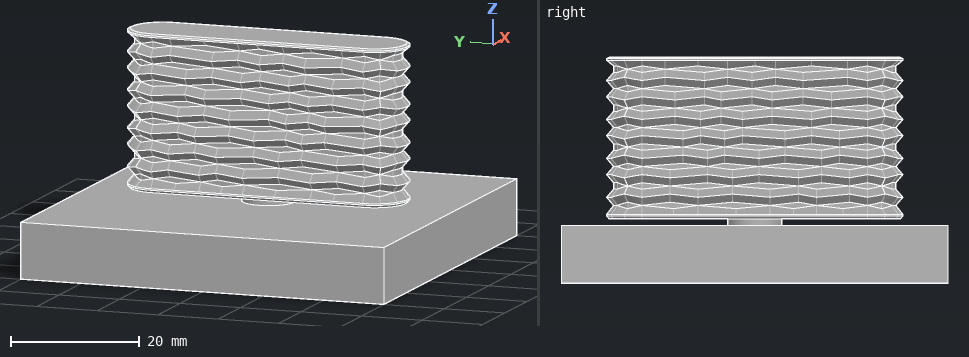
import cadquery as cq
import math

BASE_SIDE = 60.0
BASE_HEIGHT = 9.0

STUD_DIAMETER = 8.4
STUD_HEIGHT = 1.0

GRIP_HEIGHT = 25.09
CREST_RADIUS = 5.5
RIDGE_DEPTH = 1.1
FLOOR_RADIUS = CREST_RADIUS - RIDGE_DEPTH
HALF_STRAIGHT = 17.5

LAND_HEIGHT = 0.25
TOP_CHAMFER_INSET = 0.5
TOP_CHAMFER_HEIGHT = 0.23
BOTTOM_CHAMFER_INSET = 0.4
BOTTOM_CHAMFER_HEIGHT = 0.45

GRIP_BOTTOM = BASE_HEIGHT + STUD_HEIGHT
GRIP_TOP = GRIP_BOTTOM + GRIP_HEIGHT

GAP_COUNT = 8
TOP_ROW_Z = GRIP_TOP - TOP_CHAMFER_HEIGHT - LAND_HEIGHT / 2
BOTTOM_ROW_Z = GRIP_BOTTOM + BOTTOM_CHAMFER_HEIGHT + LAND_HEIGHT / 2
ROW_PITCH = (TOP_ROW_Z - BOTTOM_ROW_Z) / GAP_COUNT
RIDGE_SWAY = 0.25
RIDGE_HALF_WIDTH = ROW_PITCH / 2 - RIDGE_SWAY

PINCH_Y = [
    [-8.8, 0.0, 8.8],
    [-13.9, -4.2, 3.2, 14.4],
    [-7.8, -0.4, 7.5],
    [-12.4, -5.2, 2.7, 11.9],
    [-8.4, -1.9, 8.8],
    [-11.1, -4.7, 4.7, 13.15],
    [-7.3, 0.65, 10.35],
    [-13.15, -3.45, 6.8, 14.7],
    [-8.8, 2.4, 9.6],
    [-12.6, -2.9, 6.0, 13.7],
]

NOSE_BENDS = [(0, 1), (30, -1), (60, 1), (90, 1), (120, 1), (150, -1), (180, 1)]

CURVE_STEPS = 6
TOUCH_TOLERANCE = 1e-5


def row_z(row):
    return TOP_ROW_Z - row * ROW_PITCH


def row_direction(row):
    """Sway direction of a row where the straight side meets the rounded end."""
    return 1 if row % 2 == 0 else -1


def side_points(row, radius, z_offset, sway):
    """Points of one ridge line along the straight +X side, from -Y to +Y."""
    bends = [(y, 1) for y in PINCH_Y[row]]
    bends += [(y, -1) for y in PINCH_Y[row + 1]]
    bends += [(y, row_direction(row)) for y in (-HALF_STRAIGHT, HALF_STRAIGHT)]
    z = row_z(row) + z_offset
    return [cq.Vector(radius, y, z + sway * lift) for y, lift in sorted(bends)]


def nose_edges(row, radius, z_offset, sway):
    """Edges of one ridge line around the +Y end, rising evenly from bend to bend."""
    edges = []
    for (angle_a, lift_a), (angle_b, lift_b) in zip(NOSE_BENDS, NOSE_BENDS[1:]):
        points = []
        for step in range(CURVE_STEPS + 1):
            part = step / CURVE_STEPS
            angle = math.radians(angle_a + part * (angle_b - angle_a))
            lift = row_direction(row) * (lift_a + part * (lift_b - lift_a))
            points.append(cq.Vector(
                radius * math.cos(angle),
                HALF_STRAIGHT + radius * math.sin(angle),
                row_z(row) + z_offset + sway * lift,
            ))
        edges.append(cq.Edge.makeSpline(points))
    return edges


def crest(row, direction):
    """Ridge tip line on its upper (+1) or lower (-1) side; only the level end rows have a land between."""
    if row in (0, GAP_COUNT):
        return row, CREST_RADIUS, direction * LAND_HEIGHT / 2, 0
    return row, CREST_RADIUS, 0, RIDGE_SWAY


def foot(row, direction):
    """Line where a ridge flank meets the groove floor, above (+1) or below (-1) its crest."""
    return row, FLOOR_RADIUS, direction * RIDGE_HALF_WIDTH, RIDGE_SWAY


def top_cap_line():
    return 0, CREST_RADIUS - TOP_CHAMFER_INSET, GRIP_TOP - TOP_ROW_Z, 0


def bottom_cap_line():
    return GAP_COUNT, CREST_RADIUS - BOTTOM_CHAMFER_INSET, GRIP_BOTTOM - BOTTOM_ROW_Z, 0


def touching(point_a, point_b):
    return (point_a - point_b).Length < TOUCH_TOLERANCE


def flat_face(outline):
    """Flat face from its corners, with doubled corners dropped."""
    corners = [point for i, point in enumerate(outline) if not touching(point, outline[i - 1])]
    return cq.Face.makeFromWires(cq.Wire.makePolygon(corners, close=True))


def nose_faces(upper, lower):
    """Curved faces on both rounded ends, left out where the two lines run together."""
    faces = []
    for upper_edge, lower_edge in zip(nose_edges(*upper), nose_edges(*lower)):
        starts_touch = touching(upper_edge.startPoint(), lower_edge.startPoint())
        ends_touch = touching(upper_edge.endPoint(), lower_edge.endPoint())
        if not (starts_touch and ends_touch):
            face = cq.Face.makeRuledSurface(upper_edge, lower_edge)
            faces += [face, face.mirror("XZ")]
    return faces


def flank_faces(upper, lower):
    """Faces of a swaying ridge flank, one per bend, on both straight sides."""
    upper_points = side_points(*upper)
    lower_points = side_points(*lower)
    faces = []
    for i in range(len(upper_points) - 1):
        upper_edge = cq.Edge.makeLine(upper_points[i], upper_points[i + 1])
        lower_edge = cq.Edge.makeLine(lower_points[i], lower_points[i + 1])
        face = cq.Face.makeRuledSurface(upper_edge, lower_edge)
        faces += [face, face.mirror("YZ")]
    return faces + nose_faces(upper, lower)


def level_band_faces(upper, lower):
    """Land or chamfer of an end row: one flat face per straight side, plus the rounded ends."""
    face = flat_face(side_points(*upper) + side_points(*lower)[::-1])
    return [face, face.mirror("YZ")] + nose_faces(upper, lower)


def floor_faces(row):
    """Islands of groove floor below a row, each running from one pinch to the next."""
    upper = foot(row, -1)
    lower = foot(row + 1, 1)
    stops = [-HALF_STRAIGHT, *PINCH_Y[row + 1], HALF_STRAIGHT]
    faces = nose_faces(upper, lower)
    for start, end in zip(stops, stops[1:]):
        upper_points = [p for p in side_points(*upper) if start <= p.y <= end]
        lower_points = [p for p in side_points(*lower) if start <= p.y <= end]
        face = flat_face(upper_points + lower_points[::-1])
        faces += [face, face.mirror("YZ")]
    return faces


def cap_face(line):
    """Flat stadium face that closes the grip at one end."""
    points = side_points(*line)
    side = [cq.Edge.makeLine(a, b) for a, b in zip(points, points[1:])]
    nose = nose_edges(*line)
    edges = side + [edge.mirror("YZ") for edge in side]
    edges += nose + [edge.mirror("XZ") for edge in nose]
    return cq.Face.makeFromWires(cq.Wire.combine(edges)[0])


def make_grip():
    faces = [cap_face(top_cap_line()), cap_face(bottom_cap_line())]
    faces += level_band_faces(top_cap_line(), crest(0, 1))
    faces += level_band_faces(crest(GAP_COUNT, -1), bottom_cap_line())
    for row in (0, GAP_COUNT):
        faces += level_band_faces(crest(row, 1), crest(row, -1))
    for row in range(GAP_COUNT):
        below = row + 1
        faces += flank_faces(crest(row, -1), foot(row, -1))
        faces += floor_faces(row)
        faces += flank_faces(foot(below, 1), crest(below, 1))
    block = cq.Solid.makeSolid(cq.Shell.makeShell(faces))
    stud = (
        cq.Workplane("XY")
        .workplane(offset=BASE_HEIGHT)
        .circle(STUD_DIAMETER / 2)
        .extrude(STUD_HEIGHT)
    )
    return stud.union(cq.Workplane(obj=block), clean=False)


def make_base():
    return cq.Workplane("XY").box(BASE_SIDE, BASE_SIDE, BASE_HEIGHT, centered=(True, True, False))


base = make_base()
grip = make_grip()
result = cq.Compound.makeCompound([base.val(), grip.solids().val()])